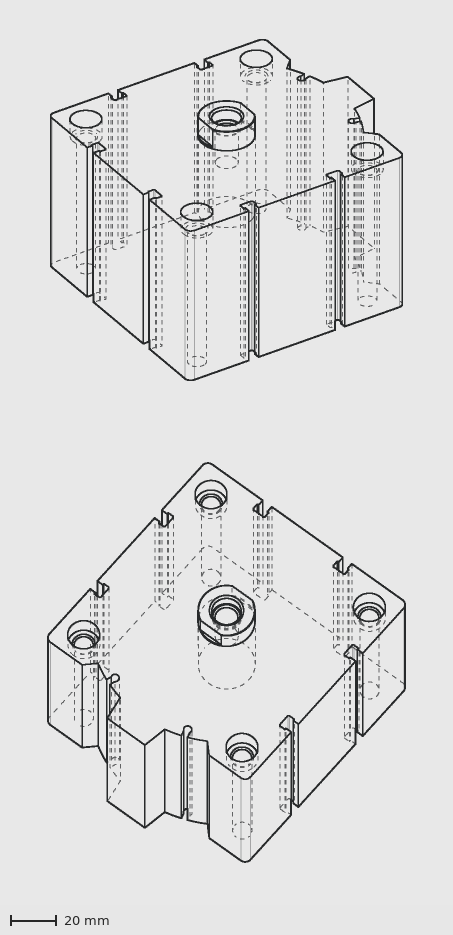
import cadquery as cq
import math

side = 113.0
half_side = side / 2
housing_height = 78.0
corner_radius = 3.0

back_radius = 60.0
block_end_y = 70.2
block_end_half_width = 10.6
block_base_half_width = 12.5
notch_start_x = 35.7

sensor_x = 20.4
sensor_y = 52.5
sensor_bore_diameter = 3.6
sensor_neck_width = 2.8
sensor_neck_length = 6.0
sensor_neck_tilt = 16.0

slot_offset = 22.5
slot_neck_width = 5.0
slot_neck_depth = 3.0
slot_head_width = 6.5
slot_depth = 6.2
slot_corner_radius = 0.5

mount_offset = 44.5
counterbore_diameter = 14.0
counterbore_depth = 9.0
mount_thread_diameter = 10.0
mount_bore_diameter = 8.38

rod_diameter = 25.0
rod_projection = 10.0
rod_insertion = 40.0
rod_top = housing_height + rod_projection
rod_bottom = housing_height - rod_insertion
rod_chamfer = 0.2
flat_distance = 22.0
flat_height = 9.0

relief_diameter = 13.0
relief_chamfer = 1.0
relief_depth = 6.0
rod_thread_diameter = 12.0
rod_bore_diameter = 10.11
rod_bore_depth = 24.0
drill_tip_angle = 118.0


def housing_profile():
    """Square whose +Y side carries the round back and the block."""
    notch_sum = half_side - notch_start_x
    half_chord = math.sqrt(2 * back_radius**2 - notch_sum**2)
    notch_x = (half_chord - notch_sum) / 2
    notch_y = (half_chord + notch_sum) / 2

    block_base_y = math.sqrt(back_radius**2 - block_base_half_width**2)
    middle_angle = (math.atan2(notch_x, notch_y) + math.atan2(block_base_half_width, block_base_y)) / 2
    arc_x = back_radius * math.sin(middle_angle)
    arc_y = back_radius * math.cos(middle_angle)

    return (
        cq.Workplane("XY")
        .moveTo(-half_side, -half_side)
        .lineTo(half_side, -half_side)
        .lineTo(half_side, half_side)
        .lineTo(notch_start_x, half_side)
        .lineTo(notch_x, notch_y)
        .threePointArc((arc_x, arc_y), (block_base_half_width, block_base_y))
        .lineTo(block_end_half_width, block_end_y)
        .lineTo(-block_end_half_width, block_end_y)
        .lineTo(-block_base_half_width, block_base_y)
        .threePointArc((-arc_x, arc_y), (-notch_x, notch_y))
        .lineTo(-notch_start_x, half_side)
        .lineTo(-half_side, half_side)
        .close()
    )


def round_outer_corners(body):
    """Round the four vertical edges of the square."""
    reach = 1.0
    for x in (-half_side, half_side):
        for y in (-half_side, half_side):
            corner = cq.selectors.BoxSelector(
                (x - reach, y - reach, 0), (x + reach, y + reach, housing_height)
            )
            body = body.edges("|Z").edges(corner).fillet(corner_radius)
    return body


def t_slot(offset):
    """T-slot with rounded inner corners, open to the -Y side and centred at x = offset."""
    neck = cq.Workplane("XY").box(
        slot_neck_width, slot_depth, housing_height, centered=(True, False, False)
    )
    head = (
        cq.Workplane("XY")
        .box(slot_head_width, slot_depth - slot_neck_depth, housing_height, centered=(True, False, False))
        .edges("|Z and >Y")
        .fillet(slot_corner_radius)
        .translate((0, slot_neck_depth, 0))
    )
    return neck.union(head).translate((offset, -half_side, 0))


def sensor_groove(direction):
    """Round groove with a narrower tilted neck; direction is +1 on the +X half and -1 on the -X half."""
    bore = cq.Workplane("XY").circle(sensor_bore_diameter / 2).extrude(housing_height)
    neck = cq.Workplane("XY").box(
        sensor_neck_width, sensor_neck_length, housing_height, centered=(True, False, False)
    )
    groove = bore.union(neck).rotate((0, 0, 0), (0, 0, 1), -direction * sensor_neck_tilt)
    return groove.translate((direction * sensor_x, sensor_y, 0))


def mounting_hole():
    """Through bore with a thread lead-in cone at the bottom of its counterbore, axis on Z."""
    bore_radius = mount_bore_diameter / 2
    thread_radius = mount_thread_diameter / 2
    counterbore_radius = counterbore_diameter / 2
    counterbore_z = housing_height - counterbore_depth
    return (
        cq.Workplane("XZ")
        .moveTo(0, 0)
        .lineTo(bore_radius, 0)
        .lineTo(bore_radius, counterbore_z - (thread_radius - bore_radius))
        .lineTo(thread_radius, counterbore_z)
        .lineTo(counterbore_radius, counterbore_z)
        .lineTo(counterbore_radius, housing_height)
        .lineTo(0, housing_height)
        .close()
        .revolve(360, (0, 0, 0), (0, 1, 0))
    )


def make_housing():
    """Extruded profile with its slots, grooves, mounting holes and the blind pocket for the rod."""
    body = round_outer_corners(housing_profile().extrude(housing_height))

    for turn in (-90, 0, 90):
        for offset in (-slot_offset, slot_offset):
            body = body.cut(t_slot(offset).rotate((0, 0, 0), (0, 0, 1), turn))

    for direction in (-1, 1):
        body = body.cut(sensor_groove(direction))

    for x in (-mount_offset, mount_offset):
        for y in (-mount_offset, mount_offset):
            body = body.cut(mounting_hole().translate((x, y, 0)))

    rod_pocket = cq.Workplane("XY", origin=(0, 0, rod_bottom)).circle(rod_diameter / 2).extrude(rod_insertion)
    return body.cut(rod_pocket)


def rod_hole():
    """Chamfered relief, thread lead-in cone, tapped bore and drill tip, from the rod's top face."""
    relief_radius = relief_diameter / 2
    thread_radius = rod_thread_diameter / 2
    bore_radius = rod_bore_diameter / 2
    relief_z = rod_top - relief_depth
    bore_z = rod_top - rod_bore_depth
    tip_height = bore_radius / math.tan(math.radians(drill_tip_angle / 2))
    return (
        cq.Workplane("XZ")
        .moveTo(0, rod_top)
        .lineTo(relief_radius + relief_chamfer, rod_top)
        .lineTo(relief_radius, rod_top - relief_chamfer)
        .lineTo(relief_radius, relief_z)
        .lineTo(thread_radius, relief_z)
        .lineTo(bore_radius, relief_z - (thread_radius - bore_radius))
        .lineTo(bore_radius, bore_z)
        .lineTo(0, bore_z - tip_height)
        .close()
        .revolve(360, (0, 0, 0), (0, 1, 0))
    )


def make_rod():
    """Round rod with a chamfered tip, two flats facing -Y and +Y, and a tapped hole."""
    body = (
        cq.Workplane("XY", origin=(0, 0, rod_bottom))
        .circle(rod_diameter / 2)
        .extrude(rod_top - rod_bottom)
        .faces(">Z")
        .chamfer(rod_chamfer)
    )
    flat_cutter = cq.Workplane("XY", origin=(0, 0, rod_top - flat_height)).box(
        rod_diameter, rod_diameter, flat_height, centered=(True, False, False)
    )
    for turn in (0, 180):
        cutter = flat_cutter.translate((0, flat_distance / 2, 0))
        body = body.cut(cutter.rotate((0, 0, 0), (0, 0, 1), turn))
    return body.cut(rod_hole())


housing = make_housing()
rod = make_rod()

result = cq.Compound.makeCompound([housing.val(), rod.val()])